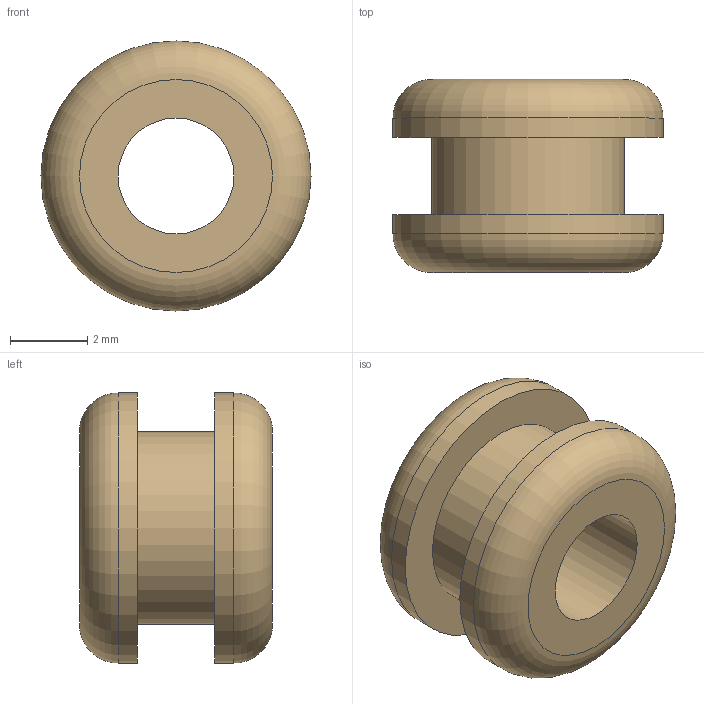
import cadquery as cq

length = 5.0
flange_diameter = 7.0
neck_diameter = 5.0
bore_diameter = 3.0
groove_width = 2.0
rounding_radius = 1.0

flange_thickness = (length - groove_width) / 2


def cylinder_along_y(diameter, height, center_y):
    """Cylinder with its axis on Y, centred lengthwise at center_y."""
    return (
        cq.Workplane("XZ", origin=(0, center_y + height / 2, 0))
        .circle(diameter / 2)
        .extrude(height)
    )


def rounded_flange(side):
    """Flange at the +Y (side=1) or -Y (side=-1) end, with its outer rim rounded."""
    center_y = side * (length - flange_thickness) / 2
    outer_face = ">Y" if side > 0 else "<Y"
    flange = cylinder_along_y(flange_diameter, flange_thickness, center_y)
    return flange.faces(outer_face).edges().fillet(rounding_radius)


grommet = cylinder_along_y(neck_diameter, groove_width, 0)
for side in (-1, 1):
    grommet = grommet.union(rounded_flange(side))

bore = cylinder_along_y(bore_diameter, length, 0)
result = grommet.cut(bore)